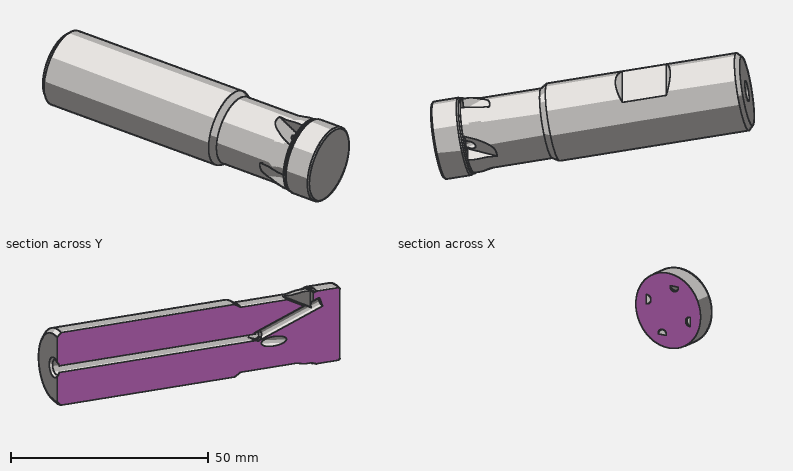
import cadquery as cq
import math

length = 80.0
body_radius = 10.0

shank_end = 50.2
shank_chamfer = 1.1
neck_diameter = 18.0
neck_radius = neck_diameter / 2
shoulder_angle = 30.0
neck_start = shank_end + (body_radius - neck_radius) / math.tan(math.radians(shoulder_angle))

flare_start = 67.4
flare_end = 70.4
collar_radius = 9.5
collar_end = 72.3
relief_radius = 9.8
relief_end = 72.8
head_start = 73.3
head_chamfer = 0.4

flat_start = 19.2
flat_end = 30.6
flat_depth = 1.9
flat_flank_run = 1.4

bore_radius = 2.0
bore_depth = 57.6
bore_chamfer = 0.6
bore_tip_angle = 120.0
bore_tip_length = bore_radius / math.tan(math.radians(bore_tip_angle / 2))

pocket_count = 4
pocket_start = 64.9
pocket_wall_offset = 0.4
pocket_ramp_angle = 27.0
pocket_yaw = 5.3
pocket_ramp_width = 2.1
pocket_arc_radius = 5.0
pocket_clearance = 9.6
pocket_run_factor = 2.0

coolant_radius = 1.2
coolant_offset = 1.8
coolant_angle = 20.0
coolant_exit_radius = 5.8
coolant_overrun = 2.4


def make_body():
    profile = (
        cq.Workplane("XY")
        .moveTo(0, 0)
        .lineTo(0, body_radius - shank_chamfer)
        .lineTo(shank_chamfer, body_radius)
        .lineTo(shank_end, body_radius)
        .lineTo(neck_start, neck_radius)
        .lineTo(flare_start, neck_radius)
        .lineTo(flare_end, collar_radius)
        .lineTo(collar_end, collar_radius)
        .lineTo(collar_end, relief_radius)
        .lineTo(relief_end, relief_radius)
        .lineTo(head_start, body_radius)
        .lineTo(length - head_chamfer, body_radius)
        .lineTo(length, body_radius - head_chamfer)
        .lineTo(length, 0)
        .close()
    )
    return profile.revolve(360, (0, 0, 0), (1, 0, 0))


def make_clamping_flat():
    floor_y = body_radius - flat_depth
    outline = [
        (flat_start, floor_y),
        (flat_end, floor_y),
        (flat_end + flat_flank_run, body_radius),
        (flat_start - flat_flank_run, body_radius),
    ]
    return cq.Workplane("XY").polyline(outline).close().extrude(body_radius, both=True)


def make_bore():
    profile = (
        cq.Workplane("XY")
        .moveTo(0, 0)
        .lineTo(0, bore_radius + bore_chamfer)
        .lineTo(bore_chamfer, bore_radius)
        .lineTo(bore_depth, bore_radius)
        .lineTo(bore_depth + bore_tip_length, 0)
        .close()
    )
    return profile.revolve(360, (0, 0, 0), (1, 0, 0))


def make_pocket():
    """Pocket on the -Y side, ending at the collar face."""
    ramp = math.radians(pocket_ramp_angle)
    yaw = math.radians(pocket_yaw)
    run_direction = cq.Vector(
        math.cos(ramp) * math.cos(yaw),
        math.sin(ramp),
        -math.cos(ramp) * math.sin(yaw),
    )
    away_from_wall = cq.Vector(-math.sin(yaw), 0, -math.cos(yaw))
    corner = cq.Vector(pocket_start, -neck_radius, pocket_wall_offset)
    section = cq.Workplane(cq.Plane(corner, away_from_wall, -run_direction))
    arc_end = pocket_ramp_width + pocket_arc_radius
    arc_middle = pocket_arc_radius * math.sqrt(0.5)
    run = pocket_run_factor * (collar_end - pocket_start)
    sweep = (
        section.moveTo(0, 0)
        .lineTo(pocket_ramp_width, 0)
        .threePointArc(
            (pocket_ramp_width + arc_middle, pocket_arc_radius - arc_middle),
            (arc_end, pocket_arc_radius),
        )
        .lineTo(arc_end, pocket_clearance)
        .lineTo(0, pocket_clearance)
        .close()
        .extrude(run, both=True)
    )
    slab_width = 2 * length
    behind_collar = cq.Workplane("XY").box(
        collar_end, slab_width, slab_width, centered=(False, True, True)
    )
    return sweep.intersect(behind_collar)


def make_coolant_hole():
    """Slanted hole on the -Y side, from the bottom of the bore out past the collar face."""
    slope = math.radians(coolant_angle)
    start = (collar_end - coolant_exit_radius / math.tan(slope), 0, -coolant_offset)
    outward = (math.cos(slope), -math.sin(slope), 0)
    hole_length = coolant_exit_radius / math.sin(slope) + coolant_overrun
    return cq.Workplane(cq.Plane(start, (0, 0, 1), outward)).circle(coolant_radius).extrude(hole_length)


result = make_body().cut(make_clamping_flat()).cut(make_bore())
pocket = make_pocket().union(make_coolant_hole())
for index in range(pocket_count):
    result = result.cut(pocket.rotate((0, 0, 0), (1, 0, 0), index * 360 / pocket_count))